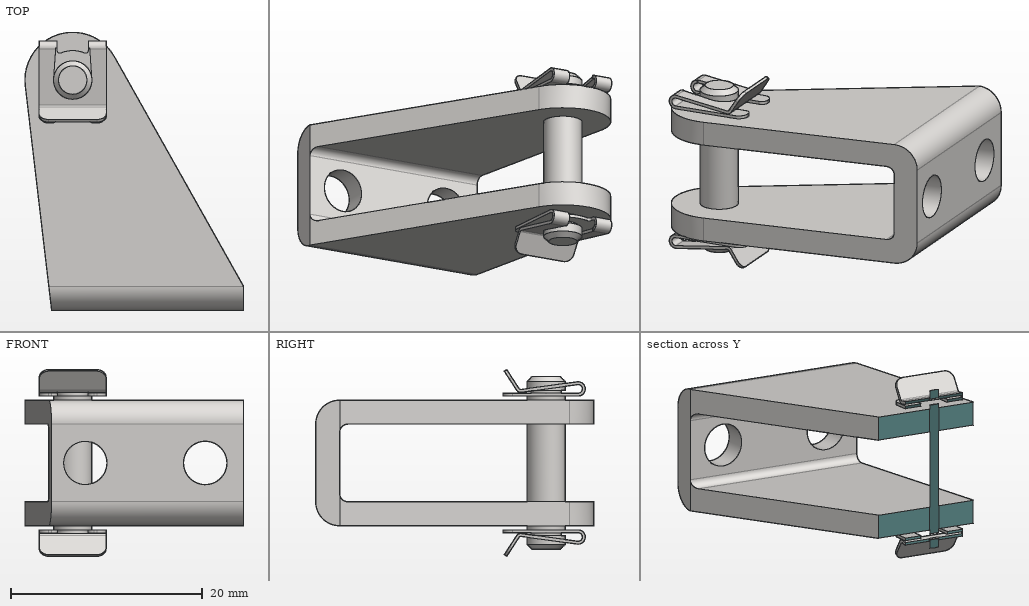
import cadquery as cq
import math


EYE_RADIUS = 5.0
INNER_GAP = 8.05
SHEET = 2.52
INNER_BEND_RADIUS = 0.85
BRACKET_HEIGHT = INNER_GAP + 2 * SHEET
BASE_Y = EYE_RADIUS - 29.0
BASE_LEFT_X = -2.2
BASE_RIGHT_X = 17.8
HOLE_DIAMETER = 4.5
HOLE_EDGE_DISTANCE = 4.0
HOLE_SPACING = 12.5

PIN_DIAMETER = 4.0
PIN_RADIUS = PIN_DIAMETER / 2
PIN_LENGTH = 18.0
PIN_CHAMFER = 0.52
GROOVE_DIAMETER = 3.2
GROOVE_BOTTOM = 6.95
GROOVE_WIDTH = 0.6

CLIP_WIDTH = 7.0
CLIP_SHEET = 0.32
CLIP_BEND_RADIUS = 0.75
CLIP_BACK_Y = 4.1
CLIP_FRONT_Y = -4.5
CLIP_TOP = 19.45 / 2
LEAF_SLOPE = math.radians(7.8)
LIP_SLOPE = math.radians(57)
KNEE_Y = -2.9
KNEE_INNER_RADIUS = 0.2
LIP_CORNER_RADIUS = 1.0
PRONG_INNER_RADIUS = 0.65
NOTCH_HALF_WIDTH = 1.62
NOTCH_TONGUE_RADIUS = 3.07
NOTCH_FILLET = 0.3
SLOT_BACK_HALF_WIDTH = 1.77

BEND_Y = CLIP_BACK_Y - CLIP_BEND_RADIUS
BEND_Z = GROOVE_BOTTOM + CLIP_BEND_RADIUS


def tangent_point(x, y, side):
    """Where the line from (x, y) touches the eye circle; side is +1 or -1."""
    bearing = math.atan2(y, x)
    angle = bearing + side * math.acos(EYE_RADIUS / math.hypot(x, y))
    return (EYE_RADIUS * math.cos(angle), EYE_RADIUS * math.sin(angle))


def make_bracket():
    right_corner = (BASE_RIGHT_X, BASE_Y + SHEET)
    bracket = (
        cq.Workplane("XY", origin=(0, 0, -BRACKET_HEIGHT / 2))
        .moveTo(BASE_LEFT_X, BASE_Y)
        .lineTo(BASE_RIGHT_X, BASE_Y)
        .lineTo(*right_corner)
        .lineTo(*tangent_point(*right_corner, 1))
        .threePointArc((0, EYE_RADIUS), tangent_point(BASE_LEFT_X, BASE_Y, -1))
        .close()
        .extrude(BRACKET_HEIGHT)
    )
    stock_width = 2 * (BASE_RIGHT_X + EYE_RADIUS)
    stock_length = 2 * EYE_RADIUS - BASE_Y
    inner_y = BASE_Y + SHEET
    channel = (
        cq.Workplane("XY")
        .box(stock_width, stock_length, BRACKET_HEIGHT, centered=(True, False, True))
        .translate((0, BASE_Y, 0))
        .edges("|X and <Y")
        .fillet(SHEET)
    )
    opening = (
        cq.Workplane("XY")
        .box(stock_width, stock_length, INNER_GAP, centered=(True, False, True))
        .translate((0, inner_y, 0))
        .edges("|X and <Y")
        .fillet(INNER_BEND_RADIUS)
    )
    bracket = bracket.intersect(channel.cut(opening))

    bore = cq.Workplane("XY").circle(PIN_RADIUS).extrude(BRACKET_HEIGHT, both=True)
    last_hole_x = BASE_RIGHT_X - HOLE_EDGE_DISTANCE
    holes = (
        cq.Workplane("XZ", origin=(0, inner_y, 0))
        .pushPoints([(last_hole_x - HOLE_SPACING, 0), (last_hole_x, 0)])
        .circle(HOLE_DIAMETER / 2)
        .extrude(SHEET)
    )
    return bracket.cut(bore).cut(holes)


def make_pin():
    pin = (
        cq.Workplane("XY")
        .circle(PIN_RADIUS)
        .extrude(PIN_LENGTH / 2, both=True)
        .faces("<Z or >Z")
        .chamfer(PIN_CHAMFER)
    )
    groove = (
        cq.Workplane("XY", origin=(0, 0, GROOVE_BOTTOM))
        .circle(PIN_DIAMETER)
        .circle(GROOVE_DIAMETER / 2)
        .extrude(GROOVE_WIDTH)
    )
    return pin.cut(groove).cut(groove.mirror("XY"))


def bend_point(radius, angle):
    return (BEND_Y + radius * math.cos(angle), BEND_Z + radius * math.sin(angle))


def make_clip_strip():
    """Folded strip before cutting: lower leaf, rear bend, sloped upper leaf and lip."""
    inner_bend_radius = CLIP_BEND_RADIUS - CLIP_SHEET
    leaf_normal = math.pi / 2 + LEAF_SLOPE
    middle_angle = LEAF_SLOPE / 2
    outer_start = bend_point(CLIP_BEND_RADIUS, leaf_normal)
    inner_start = bend_point(inner_bend_radius, leaf_normal)

    lower_knee_z = inner_start[1] - (inner_start[0] - KNEE_Y) * math.tan(LEAF_SLOPE)
    half_turn = (LEAF_SLOPE + LIP_SLOPE) / 2
    miter_length = CLIP_SHEET / math.cos(half_turn)
    miter_angle = leaf_normal - half_turn
    upper_knee_y = KNEE_Y + miter_length * math.cos(miter_angle)
    upper_knee_z = lower_knee_z + miter_length * math.sin(miter_angle)

    tip_y = upper_knee_y - (CLIP_TOP - upper_knee_z) / math.tan(LIP_SLOPE)
    tip_front_y = tip_y - CLIP_SHEET * math.sin(LIP_SLOPE)
    tip_front_z = CLIP_TOP - CLIP_SHEET * math.cos(LIP_SLOPE)

    leaf_top = GROOVE_BOTTOM + CLIP_SHEET
    strip = (
        cq.Workplane("YZ", origin=(-CLIP_WIDTH / 2, 0, 0))
        .moveTo(CLIP_FRONT_Y, GROOVE_BOTTOM)
        .lineTo(BEND_Y, GROOVE_BOTTOM)
        .threePointArc(bend_point(CLIP_BEND_RADIUS, middle_angle), outer_start)
        .lineTo(upper_knee_y, upper_knee_z)
        .lineTo(tip_y, CLIP_TOP)
        .lineTo(tip_front_y, tip_front_z)
        .lineTo(KNEE_Y, lower_knee_z)
        .lineTo(*inner_start)
        .threePointArc(bend_point(inner_bend_radius, middle_angle), (BEND_Y, leaf_top))
        .lineTo(CLIP_FRONT_Y, leaf_top)
        .close()
        .extrude(CLIP_WIDTH)
    )
    upper_knee = cq.selectors.NearestToPointSelector((0, upper_knee_y, upper_knee_z))
    lower_knee = cq.selectors.NearestToPointSelector((0, KNEE_Y, lower_knee_z))
    strip = strip.edges("|X").edges(upper_knee).fillet(KNEE_INNER_RADIUS)
    strip = strip.edges("|X").edges(lower_knee).fillet(KNEE_INNER_RADIUS + CLIP_SHEET)

    for corner_y, corner_z in [
        ((tip_y + tip_front_y) / 2, (CLIP_TOP + tip_front_z) / 2),
        (CLIP_FRONT_Y, (GROOVE_BOTTOM + leaf_top) / 2),
    ]:
        for corner_x in (-CLIP_WIDTH / 2, CLIP_WIDTH / 2):
            corner = cq.selectors.NearestToPointSelector((corner_x, corner_y, corner_z))
            strip = strip.edges(corner).fillet(LIP_CORNER_RADIUS)
    return strip


def make_fork_slot():
    """Slot in the lower leaf that hugs the pin groove, flared between the prong tips."""
    half_width = GROOVE_DIAMETER / 2
    flare_y = CLIP_FRONT_Y + PRONG_INNER_RADIUS
    flare_half_width = half_width + PRONG_INNER_RADIUS
    return (
        cq.Workplane("XY", origin=(0, 0, GROOVE_BOTTOM))
        .moveTo(-half_width, 0)
        .threePointArc((0, half_width), (half_width, 0))
        .lineTo(half_width, flare_y)
        .radiusArc((flare_half_width, CLIP_FRONT_Y), -PRONG_INNER_RADIUS)
        .lineTo(-flare_half_width, CLIP_FRONT_Y)
        .radiusArc((-half_width, flare_y), -PRONG_INNER_RADIUS)
        .close()
        .extrude(CLIP_SHEET)
    )


def make_rear_notch():
    """Opening between the rear bends, around the domed end of the lower leaf."""
    height = CLIP_TOP - GROOVE_BOTTOM
    tongue = (
        cq.Workplane("XY", origin=(0, 0, GROOVE_BOTTOM))
        .circle(NOTCH_TONGUE_RADIUS)
        .extrude(height)
    )
    return (
        cq.Workplane("XY", origin=(0, 0, GROOVE_BOTTOM))
        .box(2 * NOTCH_HALF_WIDTH, CLIP_BACK_Y, height, centered=(True, False, False))
        .cut(tongue)
        .solids(">Y")
        .edges("|Z and (not >Y)")
        .fillet(NOTCH_FILLET)
    )


def make_upper_slot():
    """Pin hole and tapered slot through the upper leaf only."""
    leaf_top = GROOVE_BOTTOM + CLIP_SHEET
    height = CLIP_TOP - leaf_top
    plane = cq.Workplane("XY", origin=(0, 0, leaf_top))
    hole = plane.circle(PIN_RADIUS).extrude(height)
    taper = (
        plane.moveTo(-PIN_RADIUS, 0)
        .lineTo(PIN_RADIUS, 0)
        .lineTo(SLOT_BACK_HALF_WIDTH, BEND_Y)
        .lineTo(-SLOT_BACK_HALF_WIDTH, BEND_Y)
        .close()
        .extrude(height)
    )
    return hole.union(taper)


def make_clip():
    return make_clip_strip().cut(make_fork_slot()).cut(make_rear_notch()).cut(make_upper_slot())


bracket = make_bracket()
pin = make_pin()
upper_clip = make_clip()
clips = [upper_clip, upper_clip.mirror("XY")]

bodies = [bracket, pin, *clips]
result = cq.Compound.makeCompound([body.solids().val() for body in bodies])